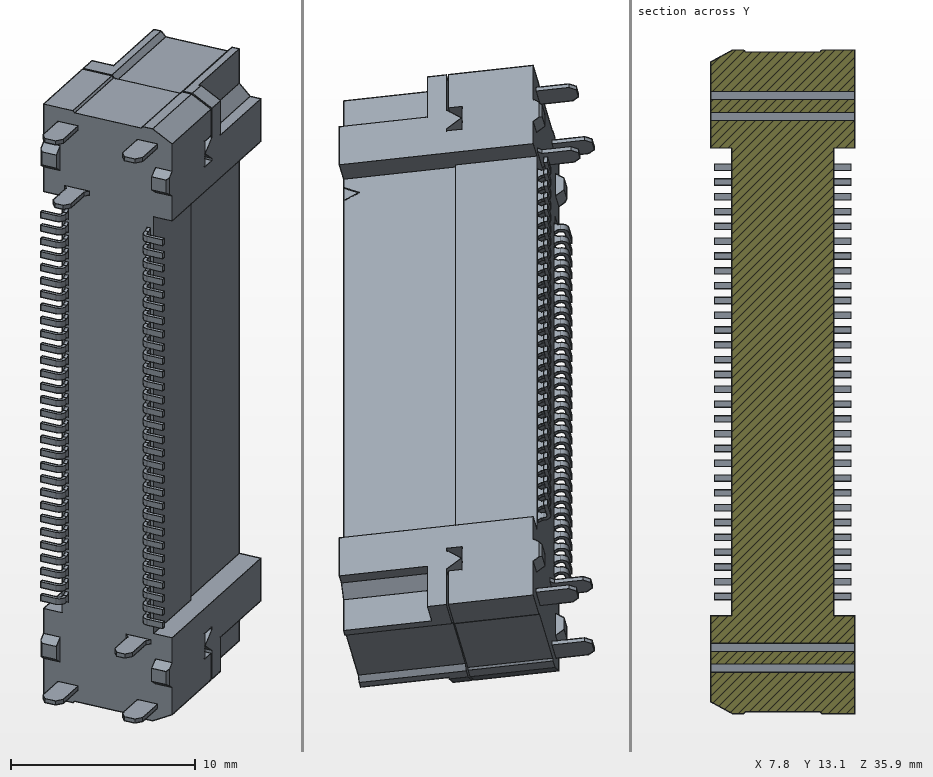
import cadquery as cq

LENGTH = 35.9
WIDTH = 7.8
DEPTH = 10.65
HALF_LENGTH = LENGTH / 2
HALF_WIDTH = WIDTH / 2

END_BLOCK_LENGTH = 5.3
MIDDLE_HALF_LENGTH = HALF_LENGTH - END_BLOCK_LENGTH
FRONT_HALF_WIDTH = 2.75
BACK_HALF_WIDTH = 2.6
STEP_DEPTH = 4.5

CORNER_BEVEL_X = 1.2
CORNER_BEVEL_Z = 0.65

JOINT_DEPTH = 4.77
SLIT_WIDTH = 0.1
WINDOW_NEAR = 2.25
WINDOW_FAR = 3.8
WINDOW_FLOOR = 3.9
TOOTH_BASE = 1.3
TOOTH_CLEARANCE = 0.05

FRONT_RECESS_HALF_WIDTH = 2.12
FRONT_RECESS = 0.1
BACK_RECESS_HALF_WIDTH = 2.15
BACK_RECESS = 0.3

NOTCH_BOTTOM = 5.8
NOTCH_WALL_DROP = 2.1
NOTCH_LEDGE_DROP = 2.73
NOTCH_LEDGE_WIDTH = 0.65

TONGUE_HALF_WIDTH = 1.08
TONGUE_HALF_LENGTH = 13.32
TONGUE_HEIGHT = 0.3
TONGUE_CHAMFER = 0.1

MARK_CENTRE_DROP = 6.32
MARK_WIDTH = 0.9
MARK_REACH = 0.85
MARK_CUT = 0.07

NUB_DROP = 3.05
NUB_BASE = 1.5
NUB_TOP = 0.8
NUB_HEIGHT = 0.45
NUB_WIDTH = 1.0
NUB_BEVEL_X = 0.15
NUB_BEVEL_Y = 0.15

TAIL_LENGTH = 2.15
TAIL_THICKNESS = 0.25
TAIL_TIP_X = 0.3
TAIL_TIP_Y = 0.35
OUTER_TAIL_X = 2.4
OUTER_TAIL_WIDTH = 1.22
OUTER_TAIL_DROP = 0.97
INNER_TAIL_X = 1.85
INNER_TAIL_WIDTH = 1.08
INNER_TAIL_DROP = 4.77
TAIL_FLARE_X = 0.2
TAIL_FLARE_Y = 0.2

LEADS_PER_ROW = 30
LEAD_PITCH = 0.8
LEAD_WIDTH = 0.35
LEAD_THICKNESS = 0.2
LEAD_INNER_X = 2.37
LEAD_OUTER_X = 3.7
LEAD_DROP = 0.75
LEAD_BEND = 0.4
LEAD_ROOT_WIDTH = 0.6
LEAD_ROOT_HEIGHT = 0.2

EMBED = 0.18


def prism_along_x(points, x_start, x_end):
    """Extrude a (y, z) outline between two X positions."""
    return cq.Workplane("YZ", origin=(x_start, 0, 0)).polyline(points).close().extrude(x_end - x_start)


def prism_along_y(points, y_start, y_end):
    """Extrude an (x, z) outline between two Y positions."""
    return cq.Workplane("XZ", origin=(0, y_start, 0)).polyline(points).close().extrude(y_start - y_end)


def block(x_range, y_range, z_range):
    size = [high - low for low, high in (x_range, y_range, z_range)]
    corner = (x_range[0], y_range[0], z_range[0])
    return cq.Workplane("XY", origin=corner).box(*size, centered=False)


def both_ends(shape):
    return shape.union(shape.mirror("XY"))


def both_sides(shape):
    return shape.union(shape.mirror("YZ"))


def housing():
    bevel_x = HALF_WIDTH - CORNER_BEVEL_X
    bevel_z = HALF_LENGTH - CORNER_BEVEL_Z
    outline = [
        (-HALF_WIDTH, MIDDLE_HALF_LENGTH),
        (HALF_WIDTH, MIDDLE_HALF_LENGTH),
        (HALF_WIDTH, bevel_z),
        (bevel_x, HALF_LENGTH),
        (-HALF_WIDTH, HALF_LENGTH),
    ]
    end_blocks = both_ends(prism_along_y(outline, 0, DEPTH))
    z_range = (-MIDDLE_HALF_LENGTH, MIDDLE_HALF_LENGTH)
    front = block((-FRONT_HALF_WIDTH, FRONT_HALF_WIDTH), (0, STEP_DEPTH), z_range)
    back = block((-BACK_HALF_WIDTH, BACK_HALF_WIDTH), (STEP_DEPTH, DEPTH), z_range)
    return front.union(back).union(end_blocks)


def joint_cut():
    """Slit from the end face into a through window that holds a triangular tooth."""
    x_range = (-HALF_WIDTH, HALF_WIDTH)
    window_top = HALF_LENGTH - WINDOW_NEAR
    slit = block(x_range, (JOINT_DEPTH - SLIT_WIDTH, JOINT_DEPTH), (window_top, HALF_LENGTH))
    window = block(x_range, (WINDOW_FLOOR, JOINT_DEPTH), (HALF_LENGTH - WINDOW_FAR, window_top))
    tooth_z = HALF_LENGTH - (WINDOW_NEAR + WINDOW_FAR) / 2
    tooth_outline = [
        (JOINT_DEPTH, tooth_z - TOOTH_BASE / 2),
        (WINDOW_FLOOR + TOOTH_CLEARANCE, tooth_z),
        (JOINT_DEPTH, tooth_z + TOOTH_BASE / 2),
    ]
    tooth = prism_along_x(tooth_outline, *x_range)
    return both_ends(slit.union(window.cut(tooth)))


def end_recess(half_width, drop, y_start, y_end):
    floor_half_width = half_width - drop
    floor_z = HALF_LENGTH - drop
    outline = [
        (-half_width, HALF_LENGTH),
        (-floor_half_width, floor_z),
        (floor_half_width, floor_z),
        (half_width, HALF_LENGTH),
    ]
    return both_ends(prism_along_y(outline, y_start, y_end))


def corner_notches():
    ledge_x = HALF_WIDTH - NOTCH_LEDGE_WIDTH
    ledge_z = HALF_LENGTH - NOTCH_LEDGE_DROP
    outline = [
        (BACK_HALF_WIDTH, HALF_LENGTH),
        (BACK_HALF_WIDTH, HALF_LENGTH - NOTCH_WALL_DROP),
        (ledge_x, ledge_z),
        (HALF_WIDTH, ledge_z),
        (HALF_WIDTH, HALF_LENGTH),
    ]
    return both_ends(both_sides(prism_along_y(outline, NOTCH_BOTTOM, DEPTH)))


def first_contact_mark():
    centre_z = HALF_LENGTH - MARK_CENTRE_DROP
    outline = [
        (DEPTH, centre_z - MARK_WIDTH / 2),
        (DEPTH - MARK_REACH, centre_z),
        (DEPTH, centre_z + MARK_WIDTH / 2),
    ]
    return prism_along_x(outline, -BACK_HALF_WIDTH, -BACK_HALF_WIDTH + MARK_CUT)


def tongue():
    bar = block(
        (-TONGUE_HALF_WIDTH, TONGUE_HALF_WIDTH),
        (DEPTH - EMBED, DEPTH + TONGUE_HEIGHT),
        (-TONGUE_HALF_LENGTH, TONGUE_HALF_LENGTH),
    )
    return bar.faces(">Y").chamfer(TONGUE_CHAMFER)


def nubs():
    """Trapezoidal nubs at the outer edges, bevelled on their outer top edge."""
    centre_z = HALF_LENGTH - NUB_DROP
    profile = [
        (EMBED, centre_z - NUB_BASE / 2),
        (0, centre_z - NUB_BASE / 2),
        (-NUB_HEIGHT, centre_z - NUB_TOP / 2),
        (-NUB_HEIGHT, centre_z + NUB_TOP / 2),
        (0, centre_z + NUB_BASE / 2),
        (EMBED, centre_z + NUB_BASE / 2),
    ]
    nub = prism_along_x(profile, HALF_WIDTH - NUB_WIDTH, HALF_WIDTH)
    bevel = (
        cq.Workplane("XY", origin=(0, 0, centre_z))
        .moveTo(HALF_WIDTH, -NUB_HEIGHT)
        .lineTo(HALF_WIDTH - NUB_BEVEL_X, -NUB_HEIGHT)
        .lineTo(HALF_WIDTH, -NUB_HEIGHT + NUB_BEVEL_Y)
        .close()
        .extrude(NUB_BASE / 2, both=True)
    )
    return both_ends(both_sides(nub.cut(bevel)))


def tail(centre_x, width, centre_z, flare_x=0.0):
    """Flat tail with a tapered tip and, if asked for, a flared root."""
    half = width / 2
    right_side = [
        (half + flare_x, EMBED),
        (half + flare_x, 0),
        (half, -TAIL_FLARE_Y),
        (half, -TAIL_LENGTH + TAIL_TIP_Y),
        (half - TAIL_TIP_X, -TAIL_LENGTH),
    ]
    left_side = [(-x, y) for x, y in reversed(right_side)]
    return (
        cq.Workplane("XY", origin=(centre_x, 0, centre_z))
        .polyline(right_side + left_side)
        .close()
        .extrude(TAIL_THICKNESS / 2, both=True)
    )


def tails():
    outer_tail = tail(OUTER_TAIL_X, OUTER_TAIL_WIDTH, HALF_LENGTH - OUTER_TAIL_DROP)
    inner_z = HALF_LENGTH - INNER_TAIL_DROP
    upper_inner = tail(-INNER_TAIL_X, INNER_TAIL_WIDTH, inner_z, TAIL_FLARE_X)
    lower_inner = tail(INNER_TAIL_X, INNER_TAIL_WIDTH, -inner_z, TAIL_FLARE_X)
    return both_ends(both_sides(outer_tail)).union(upper_inner).union(lower_inner)


def lead():
    """Lead that leaves the mounting face and bends outward into a flat foot."""
    leg_x = LEAD_INNER_X + LEAD_THICKNESS
    foot_y = -LEAD_DROP + LEAD_THICKNESS
    bend_x = LEAD_INNER_X + LEAD_BEND
    bend_y = -LEAD_DROP + LEAD_BEND
    strip = (
        cq.Workplane("XY")
        .moveTo(LEAD_INNER_X, EMBED)
        .lineTo(LEAD_INNER_X, bend_y)
        .radiusArc((bend_x, -LEAD_DROP), -LEAD_BEND)
        .lineTo(LEAD_OUTER_X, -LEAD_DROP)
        .lineTo(LEAD_OUTER_X, foot_y)
        .lineTo(bend_x, foot_y)
        .radiusArc((leg_x, bend_y), LEAD_BEND - LEAD_THICKNESS)
        .lineTo(leg_x, EMBED)
        .close()
        .extrude(LEAD_WIDTH / 2, both=True)
    )
    root_profile = [
        (EMBED, -LEAD_ROOT_WIDTH / 2),
        (0, -LEAD_ROOT_WIDTH / 2),
        (-LEAD_ROOT_HEIGHT, -LEAD_WIDTH / 2),
        (-LEAD_ROOT_HEIGHT, LEAD_WIDTH / 2),
        (0, LEAD_ROOT_WIDTH / 2),
        (EMBED, LEAD_ROOT_WIDTH / 2),
    ]
    return strip.union(prism_along_x(root_profile, LEAD_INNER_X, leg_x))


def lead_rows():
    pair = both_sides(lead()).vals()
    first_z = -LEAD_PITCH * (LEADS_PER_ROW - 1) / 2
    rows = cq.Workplane("XY")
    for index in range(LEADS_PER_ROW):
        offset = cq.Vector(0, 0, first_z + index * LEAD_PITCH)
        rows = rows.add([solid.translate(offset) for solid in pair])
    return rows.combine()


result = (
    housing()
    .cut(end_recess(FRONT_RECESS_HALF_WIDTH, FRONT_RECESS, 0, JOINT_DEPTH))
    .cut(end_recess(BACK_RECESS_HALF_WIDTH, BACK_RECESS, JOINT_DEPTH, DEPTH))
    .cut(corner_notches())
    .cut(joint_cut())
    .cut(first_contact_mark())
    .union(tongue())
    .union(nubs())
    .union(tails())
    .union(lead_rows())
)